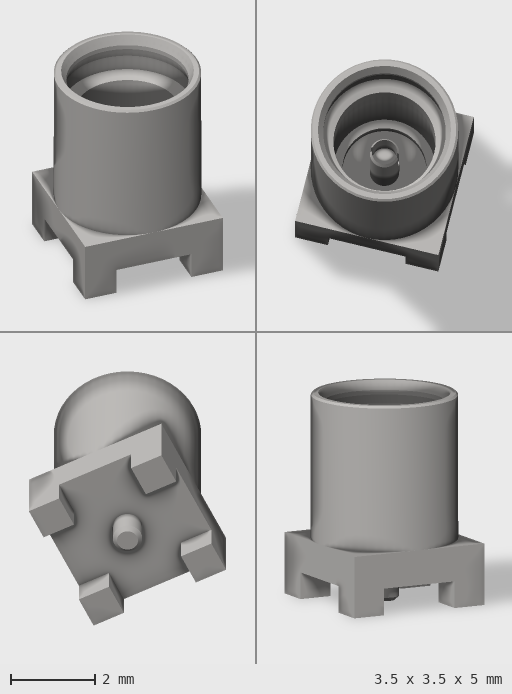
import cadquery as cq

side = 3.5
height = 5.0
base_height = 1.485
foot_height = 0.645
channel_width = 1.9

barrel_diameter = side
rim_chamfer = 0.05
mouth_diameter = 3.15
throat_diameter = 2.905
groove_diameter = 3.025
bore_diameter = 2.425
well_diameter = 2.0
mouth_depth = 0.225
lip_depth = 0.335
groove_top_depth = 0.56
groove_bottom_depth = 0.94
seat_depth = 1.055
well_depth = 0.25

pin_diameter = 0.7
pin_top = 3.0
tail_chamfer = 0.1
socket_diameter = 0.6
socket_depth = 0.75
socket_taper_length = 0.1
slot_width = 0.11


def make_base():
    base = cq.Workplane("XY").box(side, side, base_height, centered=(True, True, False))
    channel_x = cq.Workplane("XY").box(side, channel_width, foot_height, centered=(True, True, False))
    channel_y = cq.Workplane("XY").box(channel_width, side, foot_height, centered=(True, True, False))
    return base.cut(channel_x).cut(channel_y)


def make_barrel():
    barrel = (
        cq.Workplane("XY")
        .workplane(offset=base_height)
        .circle(barrel_diameter / 2)
        .extrude(height - base_height)
    )
    return barrel.faces(">Z").edges().chamfer(rim_chamfer)


def make_bore():
    """Tapered mouth, snap groove, conical seat, bore and a shallow well in its floor."""
    well_floor = base_height - well_depth
    profile = [
        (0, height),
        (mouth_diameter / 2, height),
        (throat_diameter / 2, height - mouth_depth),
        (throat_diameter / 2, height - lip_depth),
        (groove_diameter / 2, height - groove_top_depth),
        (groove_diameter / 2, height - groove_bottom_depth),
        (bore_diameter / 2, height - seat_depth),
        (bore_diameter / 2, base_height),
        (well_diameter / 2, base_height),
        (well_diameter / 2, well_floor),
        (0, well_floor),
    ]
    return cq.Workplane("XZ").polyline(profile).close().revolve(360, (0, 0), (0, 1))


def make_pin():
    """Pin through the base, its upper end a thin-walled socket split by a slot along X."""
    radius = pin_diameter / 2
    socket_radius = socket_diameter / 2
    socket_floor = pin_top - socket_depth
    profile = [
        (0, 0),
        (radius - tail_chamfer, 0),
        (radius, tail_chamfer),
        (radius, pin_top - socket_taper_length),
        (socket_radius, pin_top),
        (socket_radius, socket_floor),
        (0, socket_floor),
    ]
    pin = cq.Workplane("XZ").polyline(profile).close().revolve(360, (0, 0), (0, 1))
    slot = (
        cq.Workplane("XY")
        .workplane(offset=socket_floor)
        .rect(pin_diameter, slot_width)
        .extrude(socket_depth)
    )
    return pin.cut(slot)


result = make_base().union(make_barrel()).cut(make_bore()).union(make_pin())